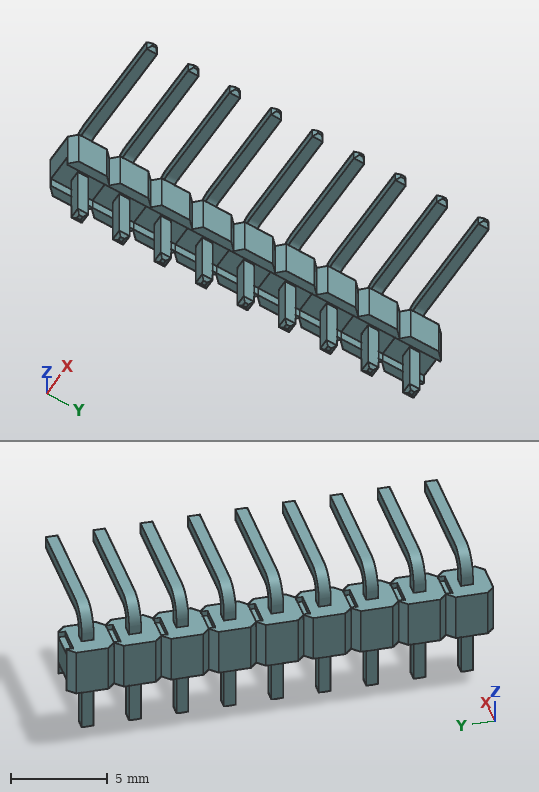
import cadquery as cq

PIN_COUNT = 9
ROW_LENGTH = 22.85
PITCH = ROW_LENGTH / PIN_COUNT

HOUSING_WIDTH = 2.54
HOUSING_HEIGHT = 2.54
CORNER_X = 0.41
CORNER_Y = 0.41
CHANNEL_WIDTH = 1.55
CHANNEL_DEPTH = 0.66
NOTCH_WIDTH = 1.6
NOTCH_LENGTH = 0.37
NOTCH_DEPTH = 0.3

PIN_SIZE = 0.65
BEND_INNER_RADIUS = 0.66
PIN_RISE = 1.8
PIN_DROP = 2.95
OVERALL_LENGTH_X = 8.45
PIN_REACH = OVERALL_LENGTH_X - HOUSING_WIDTH / 2
LOWER_TIP_LENGTH = 0.15
ARM_TIP_LENGTH = 0.2
TIP_INSET = 0.2


def housing_segment():
    """Octagonal block with its base at Z = 0, centred on the pin axis."""
    half_x = HOUSING_WIDTH / 2
    half_y = PITCH / 2
    face_x = half_x - CORNER_X
    side_y = half_y - CORNER_Y
    block = (
        cq.Workplane("XY")
        .polyline([
            (-half_x, -side_y),
            (-face_x, -half_y),
            (face_x, -half_y),
            (half_x, -side_y),
            (half_x, side_y),
            (face_x, half_y),
            (-face_x, half_y),
            (-half_x, side_y),
        ])
        .close()
        .extrude(HOUSING_HEIGHT)
    )
    centered = (True, True, False)
    channel = cq.Workplane("XY").box(CHANNEL_WIDTH, PITCH, CHANNEL_DEPTH, centered=centered)
    notch = cq.Workplane("XY").box(NOTCH_WIDTH, 2 * NOTCH_LENGTH, NOTCH_DEPTH, centered=centered)
    notch = notch.translate((0, half_y, HOUSING_HEIGHT - NOTCH_DEPTH))
    return block.cut(channel).cut(notch)


def tip(plane, length):
    """Four-sided tapered tip."""
    end_size = PIN_SIZE - 2 * TIP_INSET
    return (
        cq.Workplane(plane)
        .rect(PIN_SIZE, PIN_SIZE)
        .workplane(offset=length)
        .rect(end_size, end_size)
        .loft(ruled=True)
    )


def bent_pin():
    """Square pin passing down through the housing and bent toward +X above it."""
    half = PIN_SIZE / 2
    low = -PIN_DROP + LOWER_TIP_LENGTH
    arm_end = PIN_REACH - ARM_TIP_LENGTH
    arm_z = HOUSING_HEIGHT + PIN_RISE - half
    bend_radius = BEND_INNER_RADIUS + half
    path = (
        cq.Workplane("XZ")
        .moveTo(0, low)
        .lineTo(0, arm_z - bend_radius)
        .tangentArcPoint((bend_radius, arm_z), relative=False)
        .lineTo(arm_end, arm_z)
    )
    shaft = cq.Workplane("XY", origin=(0, 0, low)).rect(PIN_SIZE, PIN_SIZE).sweep(path)
    lower_plane = cq.Plane(origin=(0, 0, low), xDir=(1, 0, 0), normal=(0, 0, -1))
    arm_plane = cq.Plane(origin=(arm_end, 0, arm_z), xDir=(0, 1, 0), normal=(1, 0, 0))
    lower_tip = tip(lower_plane, LOWER_TIP_LENGTH)
    arm_tip = tip(arm_plane, ARM_TIP_LENGTH)
    return shaft.union(lower_tip).union(arm_tip)


def header_unit():
    """One housing segment with its pin as a single solid."""
    return housing_segment().union(bent_pin())


unit = header_unit().val()
units = []
for index in range(PIN_COUNT):
    y = (index - (PIN_COUNT - 1) / 2) * PITCH
    units.append(unit.translate(cq.Vector(0, y, 0)))

result = cq.Compound.makeCompound(units)